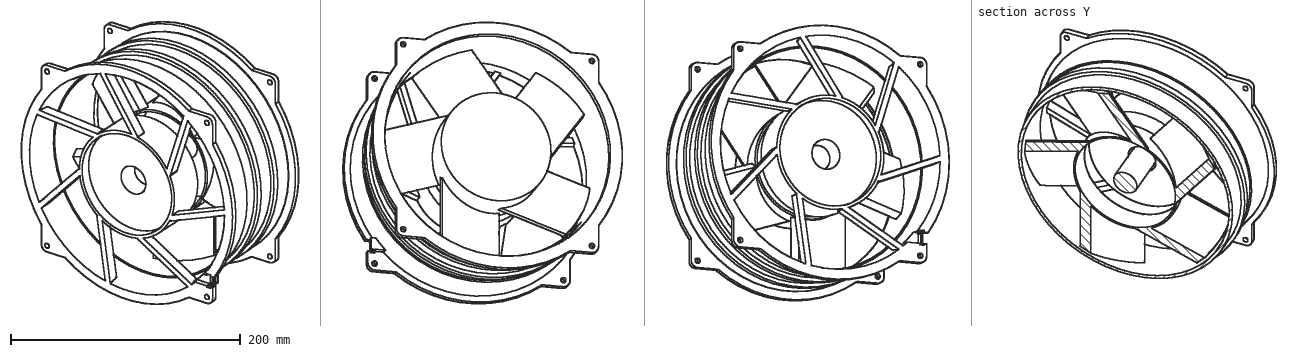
import cadquery as cq
import math


outer_radius = 112.5
casing_depth = 100.0
front_y = -casing_depth / 2
rear_y = casing_depth / 2
flange_thickness = 5.0
flange_back_y = front_y + flange_thickness
rear_flange_y = rear_y - flange_thickness

ear_reach = 91.1
ear_corner_radius = 6.0
ear_hole_spacing = 2 * (ear_reach - ear_corner_radius)
ear_hole_diameter = 4.5

throat_radius = 102.4
wall = 3.5
bore_radius = throat_radius - wall
cone_small_radius = 104.0
cone_large_radius = 107.0
cone_start_y = -16.0
cone_end_y = -43.6

mouth_radius = 103.7
lip_radius = 102.5
inner_break_radius = 101.2
inner_break_y = -35.5
inner_step_radius = 100.1
inner_step_y = -19.0

flare_rise = 3.0
flare_depth = 7.9
flare_edge = 0.7
flare_end_y = rear_flange_y - flare_edge
flare_y = flare_end_y - flare_depth
flare_radius = (flare_rise**2 + flare_depth**2) / (2 * flare_rise)

rib_radius = 105.8
rib_width = 5.6
rib_centers = [0.0, 25.0]

cup_radius = 50.6
cup_depth = 35.0
cup_rim = 3.0
shaft_bore_radius = 13.16

strut_count = 7
strut_width = 5.2
strut_depth = 10.0
strut_offset = 34.9
strut_angle = 21.2

notch_bottom_z = -74.0
notch_top_z = -63.7
notch_height = notch_top_z - notch_bottom_z
notch_middle_z = (notch_top_z + notch_bottom_z) / 2
notch_inner_x = 67.5
groove_center_x = 86.96
groove_width = 3.8
groove_length = 13.0
pad_outer_x = 89.5
pad_thickness = 5.6
pocket_length = 9.0
pocket_depth = 3.0

blade_count = 5
blade_tip_radius = 96.0
blade_pitch = 19.4
blade_width = 51.5
blade_lead_tilt = 34.0
blade_lead_thickness = 8.3
blade_trail_tilt = 12.0
blade_trail_thickness = 4.3
blade_lead_x = -7.99
blade_lead_y = 1.1

hub_radius = 49.5
hub_wall = 2.0
hub_front_y = 1.4
hub_rear_y = 45.0
hub_plate = 5.0
shaft_radius = 11.2
shaft_front_y = -22.5


def disc(radius, y_start, y_end):
    """Solid cylinder on the fan axis between two Y positions."""
    plane = cq.Plane(origin=(0, y_start, 0), xDir=(0, 0, 1), normal=(0, 1, 0))
    return cq.Workplane(plane).circle(radius).extrude(y_end - y_start)


def turned(profile):
    """Revolve an (r, y) profile about the fan axis."""
    return profile.close().revolve(360, (0, 0, 0), (0, 1, 0))


def flange(y_start):
    """Round plate with four drilled ears."""
    ears = (
        cq.Workplane("XZ", origin=(0, y_start, 0))
        .rect(2 * ear_reach, 2 * ear_reach)
        .extrude(-flange_thickness)
        .edges("|Y")
        .fillet(ear_corner_radius)
    )
    holes = (
        cq.Workplane("XZ", origin=(0, y_start, 0))
        .rect(ear_hole_spacing, ear_hole_spacing, forConstruction=True)
        .vertices()
        .circle(ear_hole_diameter / 2)
        .extrude(-flange_thickness)
    )
    plate = disc(outer_radius, y_start, y_start + flange_thickness)
    return plate.union(ears).cut(holes)


def flare_arc(profile, start_radius):
    """Add the rear bell mouth: an arc that leaves the duct wall along Y."""
    half_angle = math.asin(flare_depth / flare_radius) / 2
    middle = (
        start_radius + flare_radius * (1 - math.cos(half_angle)),
        flare_y + flare_radius * math.sin(half_angle),
    )
    return profile.threePointArc(middle, (start_radius + flare_rise, flare_end_y))


def duct_outside():
    """Solid with the outer shape of the duct."""
    profile = (
        cq.Workplane("ZY")
        .moveTo(0, front_y)
        .lineTo(cone_large_radius, front_y)
        .lineTo(cone_large_radius, cone_end_y)
        .lineTo(cone_small_radius, cone_start_y)
        .lineTo(throat_radius, cone_start_y)
        .lineTo(throat_radius, flare_y)
    )
    profile = flare_arc(profile, throat_radius)
    return turned(profile.lineTo(throat_radius + flare_rise, rear_y).lineTo(0, rear_y))


def duct_inside():
    """Solid with the shape of the air passage."""
    profile = (
        cq.Workplane("ZY")
        .moveTo(0, front_y)
        .lineTo(mouth_radius, front_y)
        .lineTo(lip_radius, flange_back_y)
        .lineTo(inner_break_radius, inner_break_y)
        .lineTo(inner_step_radius, inner_step_y)
        .lineTo(bore_radius, inner_step_y)
        .lineTo(bore_radius, flare_y)
    )
    profile = flare_arc(profile, bore_radius)
    return turned(profile.lineTo(bore_radius + flare_rise, rear_y).lineTo(0, rear_y))


def struts():
    """Slanted bars from the cup to the mouth of the duct."""
    inner_end = math.sqrt((cup_radius - cup_rim / 2) ** 2 - strut_offset**2)
    length = mouth_radius - inner_end
    bar = cq.Workplane("XY").box(length, strut_depth, strut_width)
    bar = bar.translate((inner_end + length / 2, front_y + strut_depth / 2, -strut_offset))
    bar = bar.intersect(disc(mouth_radius + wall / 2, front_y, rear_y))
    bars = cq.Workplane("XY")
    for i in range(strut_count):
        angle = strut_angle + i * 360 / strut_count
        bars = bars.union(bar.rotate((0, 0, 0), (0, 1, 0), -angle))
    return bars


def notch_box(x_start, x_end, y_start, depth, height):
    """Block at the height of the cable notch."""
    box = cq.Workplane("XY").box(x_end - x_start, depth, height)
    return box.translate(((x_start + x_end) / 2, y_start + depth / 2, notch_middle_z))


def add_cable_notch(body):
    """Cut a notch through the front flange, backed by a pad with a pocket for a cable plug."""
    groove_start = groove_center_x - groove_width / 2
    groove_end = groove_center_x + groove_width / 2
    pad = notch_box(notch_inner_x, pad_outer_x, flange_back_y, pad_thickness, notch_height)
    notch = notch_box(notch_inner_x, outer_radius, front_y, flange_thickness, notch_height)
    groove = notch_box(groove_start, groove_end, front_y, flange_thickness, groove_length)
    pocket = notch_box(groove_start, groove_end, flange_back_y, pocket_depth, pocket_length)
    return body.union(pad).cut(notch).cut(groove).cut(pocket)


def build_housing():
    """Duct with flanges, ribs, cable notch, struts and motor cup."""
    body = duct_outside().union(flange(front_y)).union(flange(rear_flange_y))
    for y in rib_centers:
        body = body.union(disc(rib_radius, y - rib_width / 2, y + rib_width / 2))
    body = add_cable_notch(body).cut(duct_inside())

    cup = disc(cup_radius, front_y, front_y + cup_depth)
    body = body.union(cup).union(struts())
    body = body.cut(disc(cup_radius - cup_rim, front_y, front_y + strut_depth))
    return body.cut(disc(shaft_bore_radius, front_y, front_y + cup_depth))


def across_blade(thickness, tilt):
    """Step from the front face to the rear face of a blade, at an angle to the fan axis."""
    angle = math.radians(tilt)
    return cq.Vector(-thickness * math.sin(angle), thickness * math.cos(angle))


def blades():
    """Pitched blades with a tapered section, from the hub wall to the tip circle."""
    lead_front = cq.Vector(blade_lead_x, blade_lead_y)
    blade_rise = blade_width * math.tan(math.radians(blade_pitch))
    trail_front = lead_front + cq.Vector(blade_width, blade_rise)
    lead_rear = lead_front + across_blade(blade_lead_thickness, blade_lead_tilt)
    trail_rear = trail_front + across_blade(blade_trail_thickness, blade_trail_tilt)
    corners = [lead_front, trail_front, trail_rear, lead_rear]
    section = cq.Workplane("XY").polyline([corner.toTuple()[:2] for corner in corners]).close()
    blade = section.extrude(-blade_tip_radius)
    blade = blade.intersect(disc(blade_tip_radius, front_y, rear_y))
    blade = blade.cut(disc(hub_radius - hub_wall, front_y, rear_y))
    ring = cq.Workplane("XY")
    for i in range(blade_count):
        ring = ring.union(blade.rotate((0, 0, 0), (0, 1, 0), i * 360 / blade_count))
    return ring


def build_impeller():
    """Hub cup with its shaft and blades."""
    body = disc(hub_radius, hub_front_y, hub_rear_y)
    body = body.cut(disc(hub_radius - hub_wall, hub_front_y, hub_rear_y - hub_plate))
    body = body.union(disc(shaft_radius, shaft_front_y, hub_rear_y))
    return body.union(blades())


housing = build_housing()
impeller = build_impeller()
result = cq.Compound.makeCompound([housing.solids().val(), impeller.solids().val()])